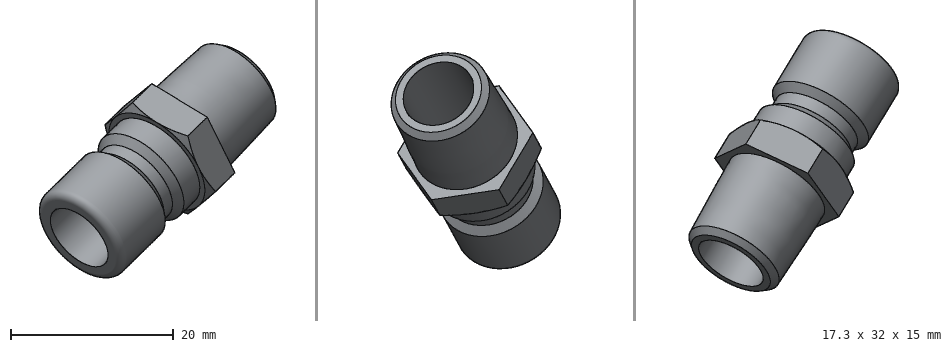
import cadquery as cq
import math

length = 32.0
bore_radius = 4.5

plug_radius = 6.72
nose_fillet = 0.95
groove_radius = 5.73
groove_start = 8.6
groove_floor_start = 9.6
groove_floor_end = 11.3
groove_end = 12.32

hex_across_flats = 15.0
hex_start = 15.5
hex_end = 20.0
hex_chamfer_angle = 30.0
chamfer_overrun = 0.32

thread_root_radius = 6.7
gauge_radius = 6.6
thread_tip_radius = 6.3
gauge_plane = 23.7
tip_chamfer = 0.8


def revolve_about_y(profile):
    """Turn a closed radius-versus-Y profile a full turn about the Y axis."""
    return profile.close().revolve(360, (0, 0, 0), (0, 1, 0))


def make_turned_body():
    fillet_centre_radius = plug_radius - nose_fillet
    diagonal = nose_fillet * math.sqrt(0.5)
    fillet_middle = (fillet_centre_radius + diagonal, nose_fillet - diagonal)
    profile = (
        cq.Workplane("XY")
        .lineTo(fillet_centre_radius, 0)
        .threePointArc(fillet_middle, (plug_radius, nose_fillet))
        .lineTo(plug_radius, groove_start)
        .lineTo(groove_radius, groove_floor_start)
        .lineTo(groove_radius, groove_floor_end)
        .lineTo(plug_radius, groove_end)
        .lineTo(plug_radius, hex_start)
        .lineTo(thread_root_radius, hex_end)
        .lineTo(gauge_radius, gauge_plane)
        .lineTo(thread_tip_radius, length - tip_chamfer)
        .lineTo(thread_tip_radius - tip_chamfer, length)
        .lineTo(0, length)
    )
    return revolve_about_y(profile)


def make_hex_collar():
    corner_radius = hex_across_flats / 2 / math.cos(math.pi / 6)
    prism = (
        cq.Workplane("XZ", origin=(0, hex_start, 0))
        .polygon(6, 2 * corner_radius)
        .extrude(hex_start - hex_end)
    )
    face_radius = hex_across_flats / 2
    chamfer_radius = corner_radius + chamfer_overrun
    chamfer_depth = (chamfer_radius - face_radius) * math.tan(math.radians(hex_chamfer_angle))
    envelope = (
        cq.Workplane("XY")
        .moveTo(0, hex_start)
        .lineTo(face_radius, hex_start)
        .lineTo(chamfer_radius, hex_start + chamfer_depth)
        .lineTo(chamfer_radius, hex_end)
        .lineTo(0, hex_end)
    )
    return prism.intersect(revolve_about_y(envelope))


bore = cq.Workplane("XZ").circle(bore_radius).extrude(-length)
result = make_turned_body().union(make_hex_collar()).cut(bore)